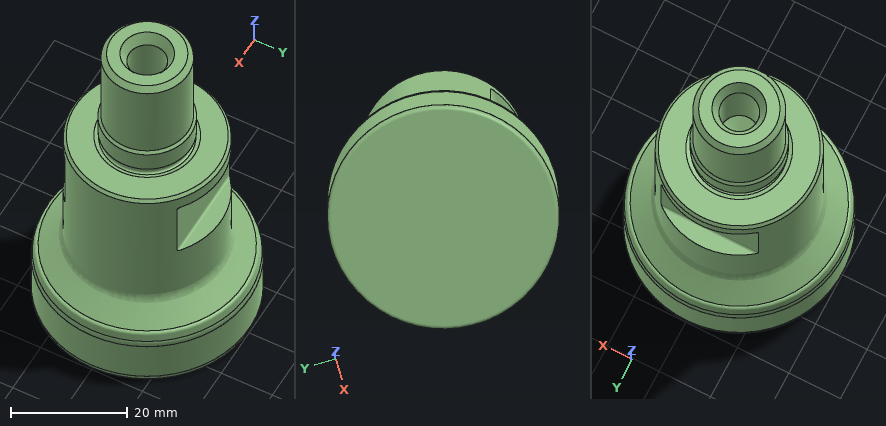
import cadquery as cq
import math

base_radius = 20.0
base_top_radius = 19.8
base_top = 10.7
base_wall_bottom = 0.7
base_wall_top = 9.95
band_radius = 20.01
band_bottom = 1.2
band_top = 9.5

flange_radius = base_top_radius
ledge_outer_radius = 19.4
ledge_inner_radius = 18.8
ledge_height = 12.4
ledge_fillet = 0.6
shoulder_angle = 41.0

neck_radius = 14.5
neck_top = 43.1
neck_chamfer = 0.55
neck_root_fillet = 2.0
flat_offset = 11.0
flat_bottom = 28.0
flat_top = 40.0
flat_corner_radius = 0.5
cutter_margin = 1.0

undercut_radius = 9.2
undercut_depth = 0.3
undercut_fillet = 0.4

stud_radius = 8.0
stud_top = 66.0
stud_chamfer = 1.0
collar_radius = 8.5
collar_bottom = 44.1
collar_straight_bottom = 44.5
collar_straight_top = 48.5
collar_top = 49.0

bore_radius = 3.5
bore_depth = 15.0
bore_mouth_radius = 4.7
bore_mouth_angle = 60.0
drill_point_angle = 118.0


def cone_height(large_radius, small_radius, included_angle):
    """Axial length of a cone between two radii."""
    return (large_radius - small_radius) / math.tan(math.radians(included_angle / 2))


def turn(outline):
    """Revolve a closed outline of radius and height about Z."""
    return outline.close().revolve(360, (0, 0, 0), (0, 1, 0))


def circle_edge(height):
    """Selector for the circular edges lying at one height."""
    reach = 2 * base_radius
    tolerance = 0.01
    return cq.selectors.BoxSelector(
        (-reach, -reach, height - tolerance), (reach, reach, height + tolerance)
    )


def make_base():
    bottom_round = base_wall_bottom
    rim_width = base_radius - base_top_radius
    rim_height = base_top - base_wall_top
    rim_round = (rim_width ** 2 + rim_height ** 2) / (2 * rim_width)
    rim_mid_angle = math.asin(rim_height / rim_round) / 2
    rim_middle = (
        base_radius - rim_round * (1 - math.cos(rim_mid_angle)),
        base_wall_top + rim_round * math.sin(rim_mid_angle),
    )
    bottom_middle = (
        base_radius - bottom_round * (1 - math.cos(math.pi / 4)),
        bottom_round * (1 - math.sin(math.pi / 4)),
    )
    return turn(
        cq.Workplane("XZ")
        .moveTo(0, 0)
        .lineTo(base_radius - bottom_round, 0)
        .threePointArc(bottom_middle, (base_radius, base_wall_bottom))
        .lineTo(base_radius, band_bottom)
        .lineTo(band_radius, band_bottom)
        .lineTo(band_radius, band_top)
        .lineTo(base_radius, band_top)
        .lineTo(base_radius, base_wall_top)
        .threePointArc(rim_middle, (base_top_radius, base_top))
        .lineTo(0, base_top)
    )


def make_shaft():
    shoulder_rise = (ledge_inner_radius - neck_radius) * math.tan(math.radians(shoulder_angle))
    neck_root = ledge_height + shoulder_rise
    undercut_floor = neck_top - undercut_depth
    undercut_middle = (
        stud_radius + undercut_fillet * (1 - math.cos(math.pi / 4)),
        undercut_floor + undercut_fillet * (1 - math.sin(math.pi / 4)),
    )
    bore_mouth_bottom = stud_top - cone_height(bore_mouth_radius, bore_radius, bore_mouth_angle)
    bore_bottom = stud_top - bore_depth
    drill_tip = bore_bottom - cone_height(bore_radius, 0, drill_point_angle)
    body = turn(
        cq.Workplane("XZ")
        .moveTo(0, base_top)
        .lineTo(flange_radius, base_top)
        .lineTo(ledge_outer_radius, ledge_height)
        .lineTo(ledge_inner_radius, ledge_height)
        .lineTo(neck_radius, neck_root)
        .lineTo(neck_radius, neck_top - neck_chamfer)
        .lineTo(neck_radius - neck_chamfer, neck_top)
        .lineTo(undercut_radius, neck_top)
        .lineTo(stud_radius + undercut_fillet, undercut_floor)
        .threePointArc(undercut_middle, (stud_radius, undercut_floor + undercut_fillet))
        .lineTo(stud_radius, collar_bottom)
        .lineTo(collar_radius, collar_straight_bottom)
        .lineTo(collar_radius, collar_straight_top)
        .lineTo(stud_radius, collar_top)
        .lineTo(stud_radius, stud_top - stud_chamfer)
        .lineTo(stud_radius - stud_chamfer, stud_top)
        .lineTo(bore_mouth_radius, stud_top)
        .lineTo(bore_radius, bore_mouth_bottom)
        .lineTo(bore_radius, bore_bottom)
        .lineTo(0, drill_tip)
    )
    body = body.edges(circle_edge(neck_root)).fillet(neck_root_fillet)
    ledge_rim = cq.selectors.RadiusNthSelector(-1)
    body = body.edges(circle_edge(ledge_height)).edges(ledge_rim).fillet(ledge_fillet)

    for side in (-1, 1):
        body = body.cut(make_flat_cutter(side))
    return body


def make_flat_cutter(side):
    """Block that cuts one wrench flat, with rounded inner corners."""
    depth = neck_radius + cutter_margin - flat_offset
    cutter = cq.Workplane("XY").box(2 * neck_radius, depth, flat_top - flat_bottom)
    inner_face = "<Y" if side > 0 else ">Y"
    cutter = cutter.faces(inner_face).edges("|X").fillet(flat_corner_radius)
    return cutter.translate((0, side * (flat_offset + depth / 2), (flat_top + flat_bottom) / 2))


base = make_base()
shaft = make_shaft()

result = cq.Compound.makeCompound([base.val(), shaft.val()])